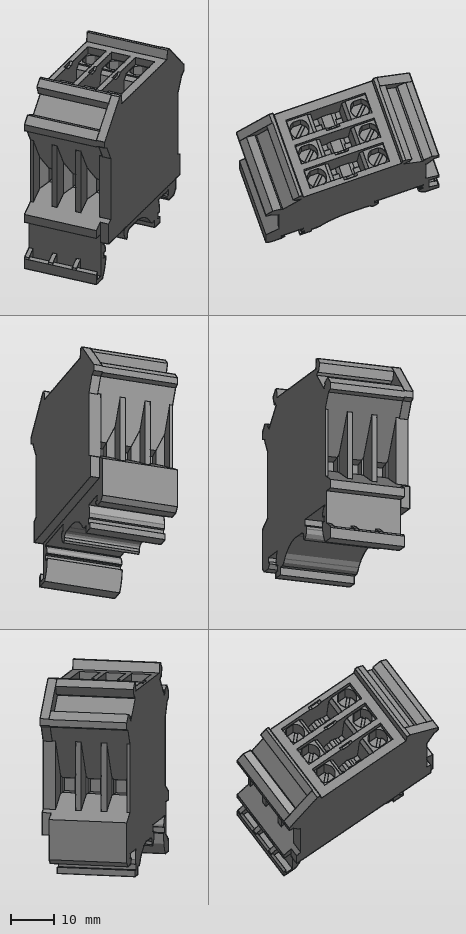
import cadquery as cq
import math


width = 20.65
depth = 42.5
height = 45.9
body_width = 18.5
half_depth = depth / 2

pole_count = 3
pole_pitch = 6.1

lip_outer_y = 13.1
plate_lip_outer_y = 13.2
lip_inner_y = 12.35
deck_y = 12.03
deck_z = 43.6
shoulder_base_z = 36.12
plate_shoulder_base_z = 36.3
brow_y = 20.0
brow_z = 35.7
column_y = 18.0
column_top_z = 32.18
column_base_z = 16.0
skirt_z = 14.2
skirt_slope = (column_base_z - skirt_z) / (half_depth - column_y)
brow_slope = (brow_z - column_top_z) / (brow_y - column_y)
clip_wall_y = 18.8
clip_slope_z = 4.3
plate_column_top_z = 32.0
plate_ledge_y = 19.15
plate_base_z = 10.1

groove_middle = 5.65
groove_mouth_width = 7.0
groove_neck_width = 5.25
groove_neck_depth = 2.05
groove_floor_width = 6.3
groove_floor_depth = 3.1

entry_start_x = 0.75
entry_width = 4.77
entry_hole_start_x = 2.15
entry_hole_width = 3.05
entry_left_taper_y = 14.55
entry_right_taper_y = 12.9
entry_throat_y = 12.55
entry_end_y = 10.1
entry_end_ceiling_z = 22.12

window_start_x = 1.4
window_back_y = 9.8
window_front_y = -9.6
seat_z = 41.75
seat_edge_y = 4.65
seat_step_z = 41.45
seat_slope_y = 3.8
seat_slope_z = 40.58
trough_y = 3.25
trough_z = 32.15
hump_base_y = 2.1
hump_top_y = 1.2
hump_height = 0.9
tab_start_x = 2.7
tab_width = 1.97
tab_y = 1.75
pin_length = 1.7
pin_radius = 0.5
pin_y = 0.1

screw_x = 3.6
screw_back_y = 7.5
screw_front_y = -7.4
screw_diameter = 4.45
screw_flat_width = 4.05
screw_depth = 5.5
driver_slot_width = 0.75
driver_slot_depth = 0.7

notch_widths = (0.7, 0.55, 0.55)
notch_back_y = 1.75
notch_front_y = -1.5
notch_depth = 0.75

toe_z = 3.08
toe_face_z = 2.52
toe_rib_y = 21.05
toe_rib_z = 3.0
toe_back_y = 20.65
toe_trough_z = 1.1
toe_rib_width = 1.1


def prism(points, start_x, length):
    """Extrude a (y, z) polygon along X."""
    return cq.Workplane("YZ").workplane(offset=start_x).polyline(points).close().extrude(length)


def box(x, y, z):
    """Box spanning three (low, high) ranges."""
    size = (x[1] - x[0], y[1] - y[0], z[1] - z[0])
    return cq.Workplane("XY").box(*size, centered=False).translate((x[0], y[0], z[0]))


def mirror_y(points):
    """The same points on the other side, in reverse order."""
    return [(-y, z) for y, z in reversed(points)]


def upper_outline(lip_y, base_z, overhang_z):
    """Open outline from the front skirt over the top to the back skirt."""
    shoulder_z = height - (half_depth - lip_y)
    back = [
        (deck_y, deck_z),
        (lip_inner_y, height),
        (lip_y, height),
        (half_depth, shoulder_z),
        (half_depth, base_z),
        (brow_y, brow_z),
        (column_y, overhang_z),
        (column_y, column_base_z),
    ]
    return mirror_y(back) + back


def make_body():
    """Main housing with both rail feet and the rounded underside."""
    upper = upper_outline(lip_outer_y, shoulder_base_z, column_top_z)
    outline = (
        cq.Workplane("YZ")
        .polyline([(-half_depth, skirt_z)] + upper + [(half_depth, skirt_z)])
        .lineTo(half_depth, 4.75)
        .lineTo(20.1, 3.63)
        .lineTo(17.6, 3.63)
        .lineTo(16.6, 4.6)
        .lineTo(16.6, 5.1)
        .lineTo(17.45, 5.1)
        .lineTo(17.45, 6.35)
        .lineTo(12.0, 6.35)
        .threePointArc((12.4, 5.2), (12.58, 4.0))
        .lineTo(12.58, 2.9)
        .lineTo(11.85, 2.9)
        .lineTo(11.85, 1.45)
        .lineTo(12.9, 1.45)
        .lineTo(12.9, 0)
        .lineTo(10.0, 0)
        .lineTo(10.0, 1.85)
        .lineTo(8.75, 1.85)
        .threePointArc((7.9, 2.35), (7.3, 3.1))
        .threePointArc((3.85, 5.6), (-1.0, 6.3))
        .lineTo(-2.85, 6.25)
        .threePointArc((-4.15, 5.9), (-4.55, 5.3))
        .lineTo(-4.55, 4.55)
        .lineTo(-5.0, 4.15)
        .threePointArc((-6.05, 5.15), (-6.43, 6.43))
        .lineTo(-6.43, 7.05)
        .lineTo(-6.05, 7.45)
        .lineTo(-5.45, 7.45)
        .lineTo(-5.45, 9.05)
        .lineTo(-17.5, 9.05)
        .lineTo(-17.5, 8.75)
        .threePointArc((-16.52, 7.75), (-16.35, 6.5))
        .lineTo(-16.9, 6.5)
        .lineTo(-17.25, 6.35)
        .lineTo(-17.25, 5.1)
        .lineTo(-16.1, 5.1)
        .threePointArc((-16.6, 2.4), (-17.9, 0))
        .lineTo(-half_depth, 0)
        .lineTo(-half_depth, toe_face_z)
        .lineTo(-toe_rib_y, toe_rib_z)
        .lineTo(-clip_wall_y, clip_slope_z)
        .lineTo(-clip_wall_y, 12.1)
        .lineTo(-half_depth, 12.1)
        .close()
    )
    return outline.extrude(body_width)


def make_end_plate():
    """Cover plate closing the open side of the last pole."""
    ledge_z = column_base_z - skirt_slope * (plate_ledge_y - column_y)
    ledge = [(plate_ledge_y, ledge_z), (plate_ledge_y, plate_base_z)]
    upper = upper_outline(plate_lip_outer_y, plate_shoulder_base_z, plate_column_top_z)
    outline = mirror_y(ledge) + upper + ledge
    return prism(outline, body_width, width - body_width)


def make_marker_groove():
    """Undercut groove sunk square to the back shoulder."""
    profile = [
        (groove_mouth_width / 2, 0),
        (groove_neck_width / 2, groove_neck_depth),
        (groove_floor_width / 2, groove_neck_depth),
        (groove_floor_width / 2, groove_floor_depth),
    ]
    profile += mirror_y(profile)
    diagonal = math.sqrt(0.5)
    points = []
    for along, into in profile:
        run = groove_middle + along
        points.append((lip_outer_y + (run - into) * diagonal, height - (run + into) * diagonal))
    return prism(points, 0, body_width)


def make_wire_entry(pole_x):
    """Tapering wire funnel in the back column, its roof and floor carrying on the outer slopes."""
    throat_run = column_y - entry_throat_y
    ceiling_z = column_top_z - brow_slope * throat_run
    floor_z = column_base_z + skirt_slope * throat_run
    side = [
        (column_y, column_base_z),
        (column_y, column_top_z),
        (entry_throat_y, ceiling_z),
        (entry_end_y, entry_end_ceiling_z),
        (entry_end_y, floor_z),
        (entry_throat_y, floor_z),
    ]
    left = entry_start_x
    right = left + entry_width
    hole_left = entry_hole_start_x
    hole_right = hole_left + entry_hole_width
    plan = [
        (left, column_y),
        (left, entry_left_taper_y),
        (hole_left, entry_throat_y),
        (hole_left, entry_end_y),
        (hole_right, entry_end_y),
        (hole_right, entry_throat_y),
        (right, entry_right_taper_y),
        (right, column_y),
    ]
    funnel = cq.Workplane("XY").polyline(plan).close().extrude(height)
    return funnel.intersect(prism(side, left, entry_width)).translate((pole_x, 0, 0))


def make_screw_hole(y):
    """Flat-sided screw well whose floor carries a diagonal driver slot."""
    floor_z = seat_z - screw_depth
    well = cq.Workplane("XY").circle(screw_diameter / 2).extrude(screw_depth)
    flats = cq.Workplane("XY").rect(screw_flat_width, screw_diameter).extrude(screw_depth)
    slot = (
        cq.Workplane("XY")
        .rect(screw_diameter, driver_slot_width)
        .extrude(-driver_slot_depth)
        .rotate((0, 0, 0), (0, 0, 1), -45)
    )
    head = cq.Workplane("XY").circle(screw_diameter / 2).extrude(-driver_slot_depth)
    return well.intersect(flats).union(slot.intersect(head)).translate((screw_x, y, floor_z))


def make_window(pole_x, end_x):
    """Deck opening over two screw seats and the trough between them."""
    half_trough = [
        (seat_edge_y, seat_z),
        (seat_edge_y, seat_step_z),
        (seat_slope_y, seat_slope_z),
        (trough_y, trough_z),
        (hump_base_y, trough_z),
        (hump_top_y, trough_z + hump_height),
    ]
    floor = half_trough + mirror_y(half_trough)
    rim = [
        (window_front_y, seat_z),
        (window_front_y, deck_z),
        (window_back_y, deck_z),
        (window_back_y, seat_z),
    ]
    window = prism(floor + rim, window_start_x, end_x - pole_x - window_start_x)
    tab_x = (tab_start_x, tab_start_x + tab_width)
    tab_top_z = trough_z + hump_base_y - tab_y
    for tab_range in ((tab_y, trough_y), (-trough_y, -tab_y)):
        window = window.cut(box(tab_x, tab_range, (trough_z, tab_top_z)))
    pin = (
        cq.Workplane("YZ")
        .workplane(offset=window_start_x)
        .center(pin_y, trough_z + hump_height)
        .circle(pin_radius)
        .extrude(pin_length)
    )
    window = window.cut(pin)
    for y in (screw_back_y, screw_front_y):
        window = window.union(make_screw_hole(y))
    return window.translate((pole_x, 0, 0))


def make_notch(pole_x, notch_width):
    """Shallow sloped-end notch in the wall left of a window."""
    points = [
        (notch_back_y, deck_z),
        (notch_back_y - notch_depth, deck_z - notch_depth),
        (notch_front_y + notch_depth, deck_z - notch_depth),
        (notch_front_y, deck_z),
    ]
    return prism(points, pole_x + window_start_x - notch_width, notch_width)


def make_toe_trough(pole_x, end_x):
    """Trough and toe bevel between two ribs of the release clip."""
    points = [
        (-clip_wall_y, toe_trough_z),
        (-clip_wall_y, clip_slope_z),
        (-half_depth, clip_slope_z),
        (-half_depth, toe_face_z),
        (-toe_back_y, toe_z),
        (-toe_back_y, toe_trough_z),
    ]
    start_x = pole_x + toe_rib_width
    return prism(points, start_x, end_x - start_x)


result = make_body().union(make_end_plate())

marker_groove = make_marker_groove()
result = result.cut(marker_groove).cut(marker_groove.mirror("XZ"))

for pole in range(pole_count):
    pole_x = pole * pole_pitch
    last_pole = pole == pole_count - 1
    pole_end_x = body_width if last_pole else pole_x + pole_pitch
    wire_entry = make_wire_entry(pole_x)
    result = result.cut(wire_entry).cut(wire_entry.mirror("XZ"))
    result = result.cut(make_window(pole_x, pole_end_x))
    result = result.cut(make_notch(pole_x, notch_widths[pole]))
    result = result.cut(make_toe_trough(pole_x, pole_end_x))